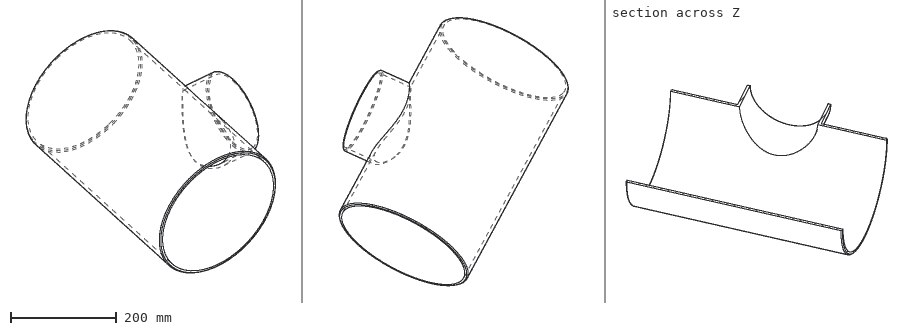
import cadquery as cq

run_diameter = 273.05
wall = 6.35
run_length = 431.8
branch_diameter = 168.148
branch_reach = 193.548

bevel = wall / 3

run_radius = run_diameter / 2
branch_radius = branch_diameter / 2


def run_blank():
    """Solid cylinder along X, centred on the origin, bevelled at both ends."""
    half_length = run_length / 2
    shoulder = half_length - bevel
    end_radius = run_radius - bevel
    return (
        cq.Workplane("XZ")
        .moveTo(-half_length, 0)
        .lineTo(-half_length, end_radius)
        .lineTo(-shoulder, run_radius)
        .lineTo(shoulder, run_radius)
        .lineTo(half_length, end_radius)
        .lineTo(half_length, 0)
        .close()
        .revolve(360, (0, 0), (1, 0))
    )


def branch_blank():
    """Solid cylinder from the run axis toward +Y, bevelled at its open end."""
    return (
        cq.Workplane("YZ")
        .lineTo(0, branch_radius)
        .lineTo(branch_reach - bevel, branch_radius)
        .lineTo(branch_reach, branch_radius - bevel)
        .lineTo(branch_reach, 0)
        .close()
        .revolve(360, (0, 0), (1, 0))
    )


def run_bore():
    """Through bore of the run."""
    return cq.Workplane("YZ").circle(run_radius - wall).extrude(run_length / 2, both=True)


def branch_bore():
    """Bore of the branch, opening into the run bore."""
    return cq.Workplane("XZ").circle(branch_radius - wall).extrude(-branch_reach)


result = run_blank().union(branch_blank()).cut(run_bore()).cut(branch_bore())